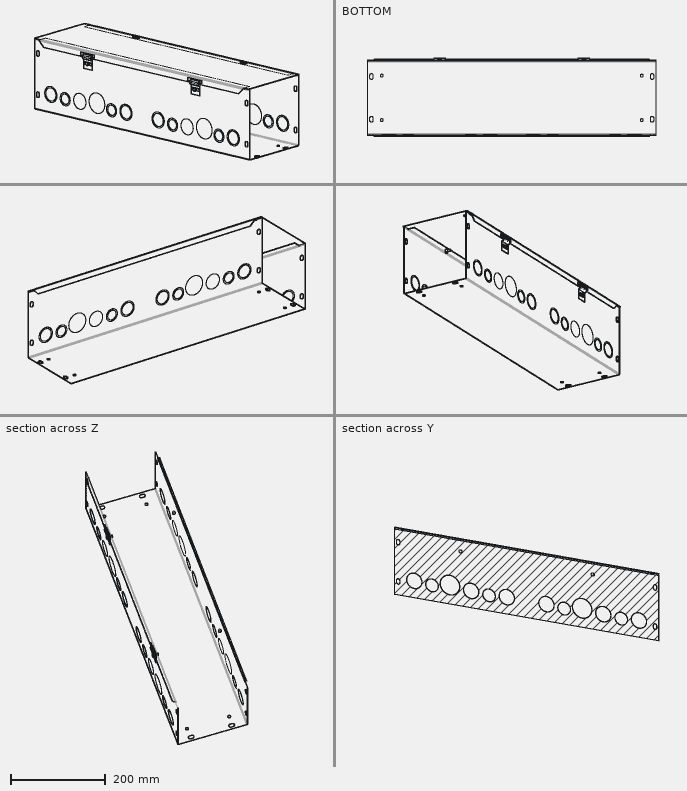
import cadquery as cq

SHEET = 1.5
TROUGH_BEND_RADIUS = 2.5
COVER_BEND_RADIUS = 3.0

LENGTH = 609.5
TROUGH_WIDTH = 156.0
COVER_TOP = 156.5
TROUGH_HEIGHT = COVER_TOP - SHEET
FLANGE_WIDTH = 17.0
FLANGE_SETBACK = 15.0
WALL_Y = TROUGH_WIDTH / 2

SLOT_LENGTH = 12.0
SLOT_WIDTH = 7.5
SLOT_INSET = 8.5
SLOT_SPACING = 90.0
SLOT_MID_HEIGHT = 78.5
FLOOR_HOLE_DIAMETER = 6.0
FLOOR_HOLE_INSET = 30.5
FLOOR_HOLE_SPACING = 94.0

KNOCKOUT_STEP = 0.1
KNOCKOUT_BASE = 24.0
SMALL_RINGS = (28.5, 22.0)
MEDIUM_RINGS = (35.0, 28.5)
SINGLE_RING = (35.0,)
LARGE_RING = (44.5,)
KNOCKOUT_ROW = (
    (-106.5, MEDIUM_RINGS),
    (-66.0, SMALL_RINGS),
    (-24.5, SINGLE_RING),
    (24.5, LARGE_RING),
    (66.0, SMALL_RINGS),
    (106.5, MEDIUM_RINGS),
)

COVER_LENGTH = 608.5
COVER_WIDTH = 163.5
COVER_END_WIDTH = 160.0
LIP_DEPTH = 15.0
LIP_SETBACK = 14.0
LIP_CHAMFER = 14.0
LIP_SLOT_LENGTH = 39.0
LIP_SLOT_BOTTOM = 144.5
LIP_SLOT_TOP = 150.5

HEAD_DIAMETER = 8.0
HEAD_TOP_DIAMETER = 6.0
HEAD_HEIGHT = 3.5
HEAD_CHAMFER_HEIGHT = 1.0
SHANK_DIAMETER = 6.0
SHANK_LENGTH = 10.0
TIP_DIAMETER = 4.6
TIP_LENGTH = 2.0
COVER_SCREW_Y = 67.0
STRAP_SCREW_Z = 128.0

KEYHOLE_DIAMETER = 12.0
KEYHOLE_OFFSET = 7.0

STRAP_WIDTH = 24.5
STRAP_THICKNESS = 1.5
STRAP_BOTTOM = 116.0
HOOK_RADIUS = 6.0
HOOK_Z = 142.0
STRAP_SLOT_LENGTH = 21.0

GROUP_CENTERS = (-LENGTH / 4, LENGTH / 4)
SIDES = (-1, 1)


def box(x_size, y_range, z_range):
    """Box centred on X = 0 between the given Y and Z limits."""
    y_size = y_range[1] - y_range[0]
    z_size = z_range[1] - z_range[0]
    block = cq.Workplane("XY").box(x_size, y_size, z_size, centered=(True, False, False))
    return block.translate((0, y_range[0], z_range[0]))


def cylinder_along_y(diameter, length, x, y_start, z):
    """Cylinder that runs from y_start towards +Y."""
    disc = cq.Workplane("XZ").circle(diameter / 2).extrude(-length)
    return disc.translate((x, y_start, z))


def knockout(x, rings, side):
    """Stepped cutter for one knockout in the -Y (side -1) or +Y (side 1) wall."""
    center_z = KNOCKOUT_BASE + rings[0] / 2
    cutter = cq.Workplane("XY")
    for number, diameter in enumerate(rings, start=1):
        depth = number * KNOCKOUT_STEP
        y_start = -WALL_Y if side < 0 else WALL_Y - depth
        cutter = cutter.union(cylinder_along_y(diameter, depth, x, y_start, center_z))
    return cutter


def wall_slots():
    """Cutter for the upright mounting slots at both ends of both walls."""
    return (
        cq.Workplane("XZ", origin=(0, 0, SLOT_MID_HEIGHT))
        .rect(LENGTH - 2 * SLOT_INSET, SLOT_SPACING, forConstruction=True)
        .vertices()
        .slot2D(SLOT_LENGTH, SLOT_WIDTH, 90)
        .extrude(TROUGH_WIDTH, both=True)
    )


def floor_openings():
    """Cutter for the mounting slots and round holes at both ends of the floor."""
    slots = (
        cq.Workplane("XY")
        .rect(LENGTH - 2 * SLOT_INSET, SLOT_SPACING, forConstruction=True)
        .vertices()
        .slot2D(SLOT_LENGTH, SLOT_WIDTH, 90)
        .extrude(SHEET)
    )
    holes = (
        cq.Workplane("XY")
        .rect(LENGTH - 2 * FLOOR_HOLE_INSET, FLOOR_HOLE_SPACING, forConstruction=True)
        .vertices()
        .circle(FLOOR_HOLE_DIAMETER / 2)
        .extrude(SHEET)
    )
    return slots.union(holes)


def make_trough():
    inner_radius = TROUGH_BEND_RADIUS - SHEET
    outside = box(LENGTH, (-WALL_Y, WALL_Y), (0, TROUGH_HEIGHT)).edges("|X").fillet(TROUGH_BEND_RADIUS)
    inner_y = WALL_Y - SHEET
    inside = box(LENGTH, (-inner_y, inner_y), (SHEET, TROUGH_HEIGHT - SHEET))
    trough = outside.cut(inside.edges("|X").fillet(inner_radius))

    flange_edge = WALL_Y - FLANGE_WIDTH
    top = (TROUGH_HEIGHT - TROUGH_BEND_RADIUS, TROUGH_HEIGHT)
    trough = trough.cut(box(LENGTH, (-flange_edge, flange_edge), top))
    for side in SIDES:
        relief = box(2 * FLANGE_SETBACK, (-inner_y, inner_y), top)
        trough = trough.cut(relief.translate((side * LENGTH / 2, 0, 0)))

    trough = trough.cut(wall_slots()).cut(floor_openings())

    for center in GROUP_CENTERS:
        for side in SIDES:
            for offset, rings in KNOCKOUT_ROW:
                trough = trough.cut(knockout(center + offset, rings, side))
        trough = trough.cut(make_cover_screw(center)).cut(make_strap_screw(center))
    return trough


def keyhole(x):
    """Cutter for a keyhole whose narrow end holds the cover screw at x."""
    entry = (
        cq.Workplane("XY", origin=(x + KEYHOLE_OFFSET, COVER_SCREW_Y, TROUGH_HEIGHT))
        .circle(KEYHOLE_DIAMETER / 2)
        .extrude(SHEET)
    )
    neck = (
        cq.Workplane("XY", origin=(x + KEYHOLE_OFFSET / 2, COVER_SCREW_Y, TROUGH_HEIGHT))
        .slot2D(KEYHOLE_OFFSET + SHANK_DIAMETER, SHANK_DIAMETER)
        .extrude(SHEET)
    )
    return entry.union(neck)


def make_cover():
    half_width = COVER_WIDTH / 2
    lip_bottom = COVER_TOP - LIP_DEPTH
    shell = box(COVER_LENGTH, (-half_width, half_width), (lip_bottom, COVER_TOP))
    shell = shell.edges("|X and >Z").fillet(COVER_BEND_RADIUS)
    inner_y = half_width - SHEET
    hollow = box(COVER_LENGTH, (-inner_y, inner_y), (lip_bottom, TROUGH_HEIGHT))
    cover = shell.cut(hollow.edges("|X and >Z").fillet(COVER_BEND_RADIUS - SHEET))

    lip_end = LENGTH / 2 - LIP_SETBACK
    end_y = COVER_END_WIDTH / 2
    lip_outline = (
        cq.Workplane("XZ")
        .moveTo(-lip_end, COVER_TOP)
        .lineTo(-lip_end, lip_bottom + LIP_CHAMFER)
        .lineTo(-lip_end + LIP_CHAMFER, lip_bottom)
        .lineTo(lip_end - LIP_CHAMFER, lip_bottom)
        .lineTo(lip_end, lip_bottom + LIP_CHAMFER)
        .lineTo(lip_end, COVER_TOP)
        .close()
        .extrude(COVER_WIDTH, both=True)
    )
    flat = box(COVER_LENGTH, (-end_y, end_y), (TROUGH_HEIGHT, COVER_TOP))
    cover = cover.intersect(lip_outline.union(flat))

    for center in GROUP_CENTERS:
        lip_slot = box(LIP_SLOT_LENGTH, (-half_width, -end_y), (LIP_SLOT_BOTTOM, LIP_SLOT_TOP))
        cover = cover.cut(lip_slot.translate((center, 0, 0))).cut(keyhole(center))
    return cover


def make_strap(x):
    inner_radius = HOOK_RADIUS - STRAP_THICKNESS
    leaf_z = (STRAP_BOTTOM, HOOK_Z - inner_radius)
    leaf = box(STRAP_WIDTH, (-WALL_Y - STRAP_THICKNESS, -WALL_Y), leaf_z)
    hook = (
        cq.Workplane("YZ", origin=(-STRAP_WIDTH / 2, -WALL_Y, HOOK_Z))
        .moveTo(0, HOOK_RADIUS)
        .threePointArc((-HOOK_RADIUS, 0), (0, -HOOK_RADIUS))
        .lineTo(0, -inner_radius)
        .threePointArc((-inner_radius, 0), (0, inner_radius))
        .close()
        .extrude(STRAP_WIDTH)
    )
    slot = (
        cq.Workplane("XZ", origin=(0, -WALL_Y, STRAP_SCREW_Z))
        .slot2D(STRAP_SLOT_LENGTH, SHANK_DIAMETER)
        .extrude(STRAP_THICKNESS)
    )
    return leaf.union(hook).cut(slot).translate((x, 0, 0))


def make_screw():
    """Screw along Z with the underside of its head at the origin."""
    return (
        cq.Workplane("XZ")
        .moveTo(0, HEAD_HEIGHT)
        .lineTo(HEAD_TOP_DIAMETER / 2, HEAD_HEIGHT)
        .lineTo(HEAD_DIAMETER / 2, HEAD_HEIGHT - HEAD_CHAMFER_HEIGHT)
        .lineTo(HEAD_DIAMETER / 2, 0)
        .lineTo(SHANK_DIAMETER / 2, 0)
        .lineTo(SHANK_DIAMETER / 2, TIP_LENGTH - SHANK_LENGTH)
        .lineTo(TIP_DIAMETER / 2, -SHANK_LENGTH)
        .lineTo(0, -SHANK_LENGTH)
        .close()
        .revolve(360, (0, 0, 0), (0, 1, 0))
    )


def make_cover_screw(x):
    return make_screw().translate((x, COVER_SCREW_Y, COVER_TOP))


def make_strap_screw(x):
    upright = make_screw().rotate((0, 0, 0), (1, 0, 0), 90)
    return upright.translate((x, -WALL_Y - STRAP_THICKNESS, STRAP_SCREW_Z))


trough = make_trough()
cover = make_cover()
straps = [make_strap(x) for x in GROUP_CENTERS]
cover_screws = [make_cover_screw(x) for x in GROUP_CENTERS]
strap_screws = [make_strap_screw(x) for x in GROUP_CENTERS]

fittings = [body.val() for body in straps + cover_screws + strap_screws]
result = cq.Compound.makeCompound([trough.val(), cover.val(), *fittings])